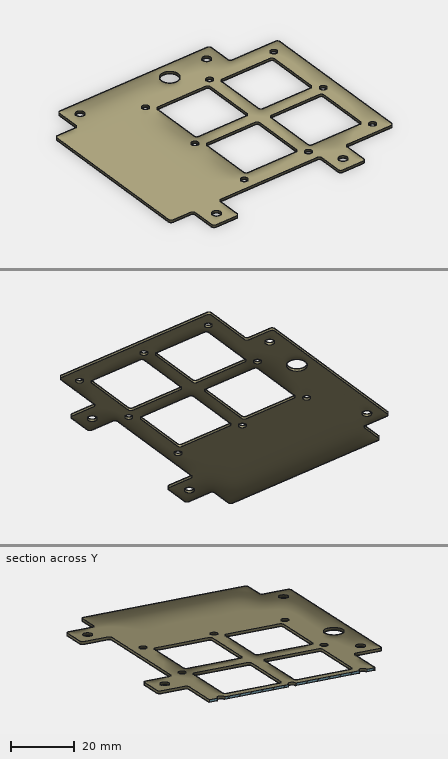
import cadquery as cq

thickness = 1.0
length = 88.0
width = 80.0
body_width = 59.2

flange_length = 60.0
flange_center_y = -5.0
ear_length = 10.0

corner_radius = 1.0

grid_pitch = 25.3
grid_center_y = 13.7
window_size = 20.8
grid_hole_diameter = 2.5

mount_hole_diameter = 3.1
cable_hole_diameter = 6.5
cable_hole_center = (-33.9, 4.6)

half_body = body_width / 2
half_width = width / 2
tab_reach = half_width - half_body
ear_offset = (flange_length - ear_length) / 2
ear_levels = [flange_center_y - ear_offset, flange_center_y + ear_offset]
mount_hole_x = half_width - ear_length / 2


def slab(size_x, size_y, center_x=0, center_y=0):
    """Rectangular block standing on the Z = 0 plane."""
    block = cq.Workplane("XY").box(size_x, size_y, thickness, centered=(True, True, False))
    return block.translate((center_x, center_y, 0))


def make_plate():
    tab_center_x = half_body + tab_reach / 2
    plate = slab(body_width, length)
    plate = plate.union(slab(tab_reach, flange_length, -tab_center_x, flange_center_y))
    for level in ear_levels:
        plate = plate.union(slab(tab_reach, ear_length, tab_center_x, level))
    return plate.edges("|Z").fillet(corner_radius)


def hole_cutter(centers, diameter):
    return cq.Workplane("XY").pushPoints(centers).circle(diameter / 2).extrude(thickness)


plate = make_plate()

for column in (-0.5, 0.5):
    for row in (-0.5, 0.5):
        window = slab(window_size, window_size, column * grid_pitch, grid_center_y + row * grid_pitch)
        plate = plate.cut(window.edges("|Z").fillet(corner_radius))

grid_hole_centers = [
    (column * grid_pitch, grid_center_y + row * grid_pitch)
    for column in (-1, 0, 1)
    for row in (-1, 0, 1)
    if (column, row) != (0, 0)
]
plate = plate.cut(hole_cutter(grid_hole_centers, grid_hole_diameter))

mount_hole_centers = [(x, y) for x in (-mount_hole_x, mount_hole_x) for y in ear_levels]
plate = plate.cut(hole_cutter(mount_hole_centers, mount_hole_diameter))

plate = plate.cut(hole_cutter([cable_hole_center], cable_hole_diameter))

result = plate